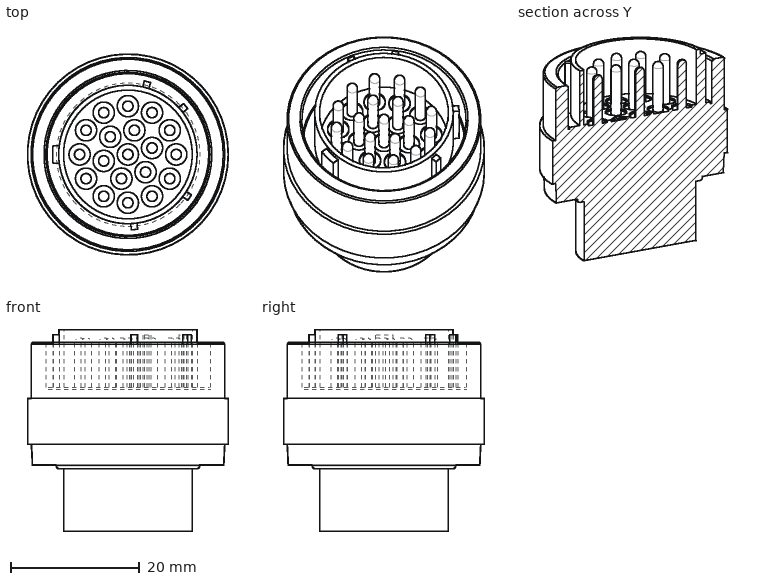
import cadquery as cq
import math

TOTAL_HEIGHT = 31.35
TUBE_TOP = 9.7
BODY_BOTTOM = 10.3
BAND_BOTTOM = 13.5
BAND_TOP = 20.65
SLEEVE_TOP = 29.35
KEY_TOP = 30.55
INSERT_FACE = 22.4
ANNULUS_FLOOR = INSERT_FACE
PIN_TOP = 30.1

TUBE_RADIUS = 10.0
COLLAR_RADIUS = 11.15
COLLAR_FILLET = 0.5
SKIRT_BOTTOM_RADIUS = 14.9
SLEEVE_RADIUS = 15.05
BAND_RADIUS = 15.6
SLEEVE_RIM_CHAMFER = 0.25

BORE_RADIUS = 12.75
BORE_CHAMFER = 0.3
FLOOR_DISC_RADIUS = 12.55
GROOVE_DEPTH = 0.3

SHELL_OUTER_RADIUS = 10.75
SHELL_INNER_RADIUS = 10.0
KEY_REACH = 11.7
MAIN_KEY_ANGLE = 180
MAIN_KEY_WIDTH = 2.7
MINOR_KEY_ANGLES = (75, 40, -35, -85)
MINOR_KEY_WIDTH = 1.0

PIN_RADIUS = 0.8
INNER_RING_RADIUS = 3.88
INNER_RING_COUNT = 6
INNER_RING_START_ANGLE = 15
OUTER_RING_RADIUS = 7.5
OUTER_RING_COUNT = 12
OUTER_RING_START_ANGLE = 0

RECESS_RADIUS = 1.65
RECESS_DEPTH = 0.3


def cylinder(radius, bottom, top):
    return cq.Workplane("XY").workplane(offset=bottom).circle(radius).extrude(top - bottom)


def make_collar():
    collar = cylinder(COLLAR_RADIUS, TUBE_TOP, BODY_BOTTOM)
    return collar.faces("<Z").edges().fillet(COLLAR_FILLET)


def make_sleeve():
    """Revolved outer body: tapered skirt, wide band and chamfered, bored sleeve."""
    groove_floor = ANNULUS_FLOOR - GROOVE_DEPTH
    profile = (
        cq.Workplane("XZ")
        .moveTo(0, BODY_BOTTOM)
        .lineTo(SKIRT_BOTTOM_RADIUS, BODY_BOTTOM)
        .lineTo(SLEEVE_RADIUS, BAND_BOTTOM)
        .lineTo(BAND_RADIUS, BAND_BOTTOM)
        .lineTo(BAND_RADIUS, BAND_TOP)
        .lineTo(SLEEVE_RADIUS, BAND_TOP)
        .lineTo(SLEEVE_RADIUS, SLEEVE_TOP - SLEEVE_RIM_CHAMFER)
        .lineTo(SLEEVE_RADIUS - SLEEVE_RIM_CHAMFER, SLEEVE_TOP)
        .lineTo(BORE_RADIUS + BORE_CHAMFER, SLEEVE_TOP)
        .lineTo(BORE_RADIUS, SLEEVE_TOP - BORE_CHAMFER)
        .lineTo(BORE_RADIUS, groove_floor)
        .lineTo(FLOOR_DISC_RADIUS, groove_floor)
        .lineTo(FLOOR_DISC_RADIUS, ANNULUS_FLOOR)
        .lineTo(0, ANNULUS_FLOOR)
        .close()
    )
    return profile.revolve(360, (0, 0, 0), (0, 1, 0))


def make_key(angle, width):
    """Rib on the outside of the shell, rooted in the shell wall, with an outer face concentric to it."""
    root = (SHELL_INNER_RADIUS + SHELL_OUTER_RADIUS) / 2
    reach = cylinder(KEY_REACH, ANNULUS_FLOOR, KEY_TOP)
    key = (
        cq.Workplane("XY")
        .workplane(offset=ANNULUS_FLOOR)
        .center((root + KEY_REACH) / 2, 0)
        .rect(KEY_REACH - root, width)
        .extrude(KEY_TOP - ANNULUS_FLOOR)
        .intersect(reach)
    )
    return key.rotate((0, 0, 0), (0, 0, 1), angle)


def make_shell():
    shell = cylinder(SHELL_OUTER_RADIUS, ANNULUS_FLOOR, TOTAL_HEIGHT)
    shell = shell.union(make_key(MAIN_KEY_ANGLE, MAIN_KEY_WIDTH))
    for angle in MINOR_KEY_ANGLES:
        shell = shell.union(make_key(angle, MINOR_KEY_WIDTH))
    return shell


def ring_points(radius, count, start_angle):
    angles = [math.radians(start_angle + i * 360 / count) for i in range(count)]
    return [(radius * math.cos(a), radius * math.sin(a)) for a in angles]


def make_pins(points):
    """Round pins with hemispherical tips, standing on the floors of their recesses."""
    bottom = INSERT_FACE - RECESS_DEPTH
    shoulder = PIN_TOP - PIN_RADIUS
    pin = (
        cq.Workplane("XZ")
        .moveTo(0, bottom)
        .lineTo(PIN_RADIUS, bottom)
        .lineTo(PIN_RADIUS, shoulder)
        .radiusArc((0, PIN_TOP), -PIN_RADIUS)
        .close()
        .revolve(360, (0, 0, 0), (0, 1, 0))
    )
    pins = cq.Workplane("XY")
    for x, y in points:
        pins.add(pin.translate((x, y, 0)))
    return pins.combine()


def make_recesses(points):
    recesses = cq.Workplane("XY").workplane(offset=INSERT_FACE).pushPoints(points)
    return recesses.circle(RECESS_RADIUS).extrude(-RECESS_DEPTH)


pin_points = [(0, 0)]
pin_points += ring_points(INNER_RING_RADIUS, INNER_RING_COUNT, INNER_RING_START_ANGLE)
pin_points += ring_points(OUTER_RING_RADIUS, OUTER_RING_COUNT, OUTER_RING_START_ANGLE)

body = cylinder(TUBE_RADIUS, 0, BODY_BOTTOM)
body = body.union(make_collar()).union(make_sleeve()).union(make_shell())
body = body.cut(cylinder(SHELL_INNER_RADIUS, INSERT_FACE, TOTAL_HEIGHT))
body = body.cut(make_recesses(pin_points))
result = body.union(make_pins(pin_points))